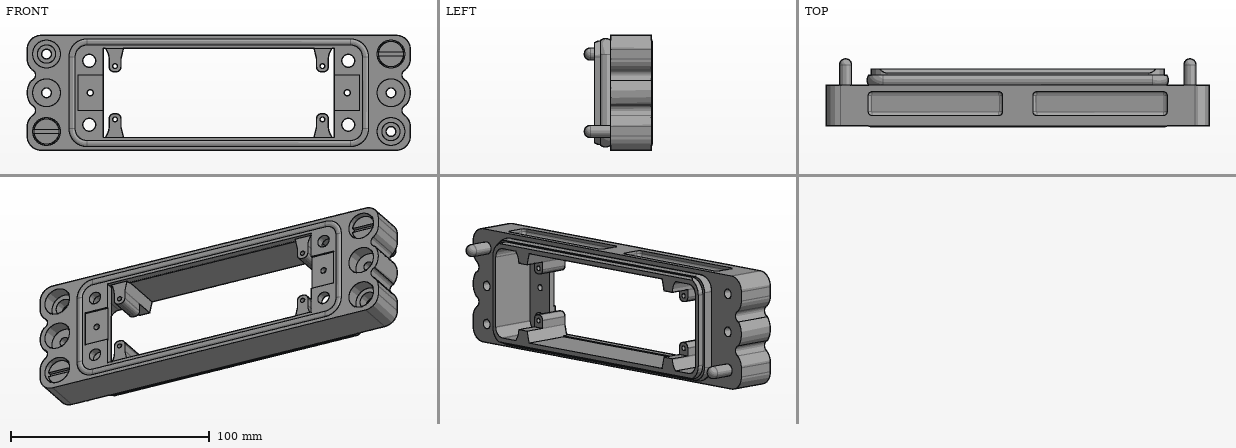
import cadquery as cq
import math


length = 193.0
height = 58.0
thickness = 20.5
end_radius = 7.2
end_x = length / 2
top_z = height / 2
corner_lobe_z = 17.1
notch_outer_z = 11.4
notch_inner_z = 6.1
notch_floor_x = 92.3
middle_lobe_radius = 9.8

rim_height = 8.2
rim_half_x = 73.85
rim_half_z = 26.1
rim_radius = 8.0
rim_chamfer_height = 2.1
rim_chamfer_depth = 0.9
front_wall = 4.4
cavity_half_x = 71.8
cavity_half_z = 22.9
cavity_radius = 5.0
opening_half_x = 58.1
opening_half_z = 22.4
rim_back_y = thickness + rim_height

gasket_height = 5.0
gasket_half_x = 75.05
gasket_half_z = 26.5
gasket_radius = 7.2
gasket_bulge = 0.85
gasket_inset = 3.0
bead_half_x = 75.4
bead_half_z = 27.1
bead_radius = 9.0
bead_width = 3.1
bead_rise = 0.5
bead_root = 0.5

end_hole_x = 86.7
end_hole_z = 19.5
counterbore_diameter = 14.0
counterbore_depth = 7.5
inner_bore_diameter = 9.2
inner_bore_depth = 6.0
end_hole_diameter = 4.8
screw_head_diameter = 12.7
screw_head_recess = 2.5
screw_slot_width = 2.2
screw_slot_depth = 2.0
pin_diameter = 6.2
pin_length = 13.3

fixing_x = 65.2
fixing_z = 16.1
fixing_diameter = 6.4
pocket_outer_x = 70.9
pocket_half_z = 9.05
pocket_depth = 0.9
pocket_hole_x = 64.7
pocket_hole_diameter = 3.0

tab_x = 52.2
tab_half_width = 3.0
tab_tip_z = 10.5
tab_tip_radius = 2.5
tab_flare_z = 17.0
tab_outer_flare = 2.3
tab_inner_flare = 1.4
tab_front_y = 2.0
tab_depth = 15.8
tab_hole_z = 13.4
tab_hole_diameter = 2.3

label_inner_x = 7.6
label_outer_x = 75.3
label_front_y = 5.2
label_back_y = 17.2
label_depth = 3.2
label_floor_fillet = 1.7
label_corner = 2.0

SIDES = (-1, 1)
ROUND_OFF = math.sqrt(0.5)


def front_plane(y):
    """XZ sketch plane at distance y whose local axes are X and Z and whose normal is -Y."""
    return cq.Workplane("XZ", origin=(0, y, 0))


def cylinder(x, z, diameter, y_start, y_end):
    return front_plane(y_start).center(x, z).circle(diameter / 2).extrude(y_start - y_end)


def block(x_min, x_max, y_min, y_max, z_min, z_max):
    size = (x_max - x_min, y_max - y_min, z_max - z_min)
    return cq.Workplane("XY").box(*size, centered=False).translate((x_min, y_min, z_min))


def rounded_block(half_x, half_z, radius, y_start, y_end):
    prism = block(-half_x, half_x, y_start, y_end, -half_z, half_z)
    return prism.edges("|Y").fillet(radius)


def rounded_path(half_x, half_z, radius, y):
    """Closed rounded rectangle that starts at the middle of its upper side."""
    flat_x = half_x - radius
    flat_z = half_z - radius
    bend_x = flat_x + radius * ROUND_OFF
    bend_z = flat_z + radius * ROUND_OFF
    return (
        front_plane(y)
        .moveTo(0, half_z)
        .lineTo(flat_x, half_z)
        .threePointArc((bend_x, bend_z), (half_x, flat_z))
        .lineTo(half_x, -flat_z)
        .threePointArc((bend_x, -bend_z), (flat_x, -half_z))
        .lineTo(-flat_x, -half_z)
        .threePointArc((-bend_x, -bend_z), (-half_x, -flat_z))
        .lineTo(-half_x, flat_z)
        .threePointArc((-bend_x, bend_z), (-flat_x, half_z))
        .close()
    )


def body_end_cut(side):
    """Everything beyond the three-lobed end of the body, on one side."""
    lobe_x = end_x - end_radius
    corner_z = top_z - end_radius
    lobe_dip = corner_lobe_z - notch_outer_z
    outer_lip_x = lobe_x + math.sqrt(end_radius**2 - lobe_dip**2)
    lobe_middle = math.asin(lobe_dip / end_radius) / 2
    lobe_middle_x = lobe_x + end_radius * math.cos(lobe_middle)
    lobe_middle_dip = end_radius * math.sin(lobe_middle)
    middle_lobe_x = end_x - middle_lobe_radius
    inner_lip_x = middle_lobe_x + math.sqrt(middle_lobe_radius**2 - notch_inner_z**2)
    notch_z = (notch_outer_z + notch_inner_z) / 2
    corner_bend = end_radius * ROUND_OFF
    far_x = end_x + end_radius

    def at(x, z):
        return (side * x, z)

    return (
        front_plane(0)
        .moveTo(*at(lobe_x, top_z))
        .threePointArc(at(lobe_x + corner_bend, corner_z + corner_bend), at(end_x, corner_z))
        .lineTo(*at(end_x, corner_lobe_z))
        .threePointArc(at(lobe_middle_x, corner_lobe_z - lobe_middle_dip), at(outer_lip_x, notch_outer_z))
        .threePointArc(at(notch_floor_x, notch_z), at(inner_lip_x, notch_inner_z))
        .threePointArc(at(end_x, 0), at(inner_lip_x, -notch_inner_z))
        .threePointArc(at(notch_floor_x, -notch_z), at(outer_lip_x, -notch_outer_z))
        .threePointArc(at(lobe_middle_x, lobe_middle_dip - corner_lobe_z), at(end_x, -corner_lobe_z))
        .lineTo(*at(end_x, -corner_z))
        .threePointArc(at(lobe_x + corner_bend, -corner_z - corner_bend), at(lobe_x, -top_z))
        .lineTo(*at(far_x, -top_z))
        .lineTo(*at(far_x, top_z))
        .close()
        .extrude(-thickness)
    )


def make_body():
    body = block(-end_x, end_x, 0, thickness, -top_z, top_z)
    for side in SIDES:
        body = body.cut(body_end_cut(side))
    return body


def make_rim():
    """Rounded collar on the back whose two long edges are chamfered."""
    collar = rounded_block(rim_half_x, rim_half_z, rim_radius, front_wall, rim_back_y)
    chamfer_y = rim_back_y - rim_chamfer_height
    chamfer_z = rim_half_z - rim_chamfer_depth
    envelope = (
        cq.Workplane("YZ", origin=(-rim_half_x, 0, 0))
        .polyline([
            (front_wall, -rim_half_z),
            (chamfer_y, -rim_half_z),
            (rim_back_y, -chamfer_z),
            (rim_back_y, chamfer_z),
            (chamfer_y, rim_half_z),
            (front_wall, rim_half_z),
        ])
        .close()
        .extrude(2 * rim_half_x)
    )
    return collar.intersect(envelope)


def make_gasket():
    """Ring around the rim with an outwardly bulging side."""
    path = rounded_path(gasket_half_x, gasket_half_z, gasket_radius, thickness)
    gasket_top = thickness + gasket_height
    return (
        cq.Workplane("YZ")
        .moveTo(thickness, gasket_half_z - gasket_inset)
        .lineTo(thickness, gasket_half_z)
        .threePointArc(
            (thickness + gasket_height / 2, gasket_half_z + gasket_bulge),
            (gasket_top, gasket_half_z),
        )
        .lineTo(gasket_top, gasket_half_z - gasket_inset)
        .close()
        .sweep(path)
    )


def make_bead():
    """Raised half-round sealing bead running round the front opening."""
    path = rounded_path(bead_half_x, bead_half_z, bead_radius, 0)
    return (
        cq.Workplane("YZ")
        .moveTo(bead_root, bead_half_z)
        .lineTo(0, bead_half_z)
        .threePointArc((-bead_rise, bead_half_z - bead_width / 2), (0, bead_half_z - bead_width))
        .lineTo(bead_root, bead_half_z - bead_width)
        .close()
        .sweep(path)
    )


def cut_opening(frame):
    cavity = rounded_block(cavity_half_x, cavity_half_z, cavity_radius, front_wall, rim_back_y)
    opening = block(-opening_half_x, opening_half_x, 0, front_wall, -opening_half_z, opening_half_z)
    return frame.cut(cavity).cut(opening)


def cut_front_wall(frame):
    """Fixing holes, and shallow pockets that open into the main opening."""
    for side in SIDES:
        inner_x = side * opening_half_x
        outer_x = side * pocket_outer_x
        x_min = min(inner_x, outer_x)
        x_max = max(inner_x, outer_x)
        frame = frame.cut(block(x_min, x_max, 0, pocket_depth, -pocket_half_z, pocket_half_z))
        frame = frame.cut(cylinder(side * pocket_hole_x, 0, pocket_hole_diameter, 0, front_wall))
        for level in SIDES:
            hole = cylinder(side * fixing_x, level * fixing_z, fixing_diameter, 0, front_wall)
            frame = frame.cut(hole)
    return frame


def cut_end_holes(frame):
    """Counterbores at all six places; through holes where no screw is fitted."""
    for side in SIDES:
        x = side * end_hole_x
        for z in (-end_hole_z, 0, end_hole_z):
            frame = frame.cut(cylinder(x, z, counterbore_diameter, 0, counterbore_depth))
        for z in (0, -side * end_hole_z):
            frame = frame.cut(cylinder(x, z, end_hole_diameter, 0, thickness))
        inner_bore_end = counterbore_depth + inner_bore_depth
        frame = frame.cut(cylinder(x, -side * end_hole_z, inner_bore_diameter, 0, inner_bore_end))
    return frame


def make_screw(side):
    """Slotted screw head in its counterbore, with a round-nosed pin behind the body."""
    x = side * end_hole_x
    z = side * end_hole_z
    head = cylinder(x, z, screw_head_diameter, screw_head_recess, counterbore_depth)
    half_slot = screw_slot_width / 2
    half_head = screw_head_diameter / 2
    slot = block(
        x - half_head, x + half_head,
        screw_head_recess, screw_head_recess + screw_slot_depth,
        z - half_slot, z + half_slot,
    )
    nose_y = thickness + pin_length - pin_diameter / 2
    pin = cylinder(x, z, pin_diameter, counterbore_depth, nose_y)
    nose = cq.Workplane("XY").sphere(pin_diameter / 2).translate((x, nose_y, z))
    return head.cut(slot).union(pin).union(nose)


def make_tab(side, level):
    """Flared latch tab: full height at the front, a low foot from there to the back."""
    root_z = cavity_half_z

    def at(offset, z):
        return (side * (tab_x + offset), level * z)

    outer = tab_half_width
    tip_flat = tab_half_width - tab_tip_radius
    tip_bend = tip_flat + tab_tip_radius * ROUND_OFF
    tip_round_z = tab_tip_z + tab_tip_radius
    tip_bend_z = tip_round_z - tab_tip_radius * ROUND_OFF
    flare_middle_z = (tab_flare_z + root_z) / 2
    flare_middle = outer + tab_outer_flare / 4
    outline = (
        front_plane(tab_front_y)
        .moveTo(*at(outer + tab_outer_flare, root_z))
        .threePointArc(at(flare_middle, flare_middle_z), at(outer, tab_flare_z))
        .lineTo(*at(outer, tip_round_z))
        .threePointArc(at(tip_bend, tip_bend_z), at(tip_flat, tab_tip_z))
        .lineTo(*at(-tip_flat, tab_tip_z))
        .threePointArc(at(-tip_bend, tip_bend_z), at(-outer, tip_round_z))
        .lineTo(*at(-outer, tab_flare_z))
        .lineTo(*at(-outer - tab_inner_flare, root_z))
        .close()
    )
    tab = outline.extrude(tab_front_y - rim_back_y)
    reach_y = tab_front_y + tab_depth
    z_near = level * tab_flare_z
    upper_part = block(-end_x, end_x, reach_y, rim_back_y, min(0, z_near), max(0, z_near))
    hole = cylinder(side * tab_x, level * tab_hole_z, tab_hole_diameter, tab_front_y, rim_back_y)
    return tab.cut(upper_part).cut(hole)


def label_recess(side):
    """Recess with a rounded floor edge, sunk into the upper long side."""
    middle_x = side * (label_inner_x + label_outer_x) / 2
    middle_y = (label_front_y + label_back_y) / 2
    wide = label_outer_x - label_inner_x
    deep = label_back_y - label_front_y
    return (
        cq.Workplane("XY", origin=(middle_x, middle_y, top_z))
        .rect(wide, deep)
        .extrude(-label_depth)
        .edges("|Z")
        .fillet(label_corner)
        .faces("<Z")
        .edges()
        .fillet(label_floor_fillet)
    )


frame = make_body().union(make_rim())
frame = cut_opening(frame)
frame = frame.union(make_gasket().cut(make_rim())).union(make_bead())
frame = cut_front_wall(frame)
frame = cut_end_holes(frame)
for side in SIDES:
    frame = frame.cut(label_recess(side)).union(make_screw(side))
    for level in SIDES:
        frame = frame.union(make_tab(side, level))

result = frame